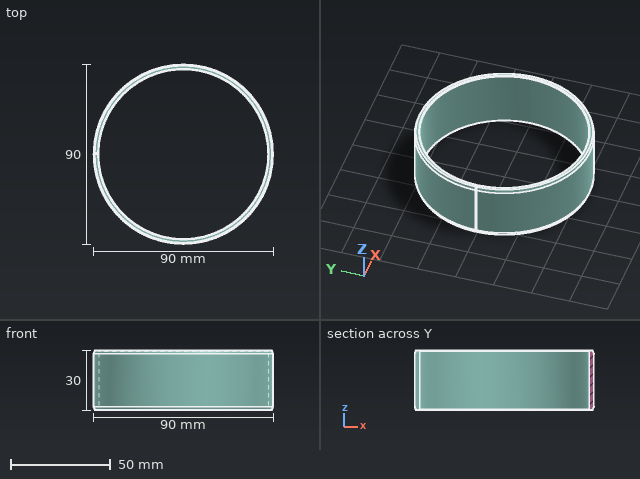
import cadquery as cq

outer_diameter = 90.0
height = 30.0
wall = 2.5
outer_chamfer_height = 1.8
outer_chamfer_depth = 0.6
inner_chamfer = 0.4
slit_width = 0.7

outer_radius = outer_diameter / 2
inner_radius = outer_radius - wall
half_height = height / 2


def sleeve():
    """Revolve the wall section, with both rims chamfered inside and out."""
    chamfer_start = half_height - outer_chamfer_height
    rim_radius = outer_radius - outer_chamfer_depth
    section = [
        (outer_radius, -chamfer_start),
        (outer_radius, chamfer_start),
        (rim_radius, half_height),
        (inner_radius + inner_chamfer, half_height),
        (inner_radius, half_height - inner_chamfer),
        (inner_radius, -half_height + inner_chamfer),
        (inner_radius + inner_chamfer, -half_height),
        (rim_radius, -half_height),
    ]
    return cq.Workplane("XZ").polyline(section).close().revolve(360, (0, 0), (0, 1))


def slit():
    """Full-height cutter through the -X wall, with one face on the XZ plane and the other at +Y."""
    cutter = cq.Workplane("XY").box(outer_radius, slit_width, height)
    return cutter.translate((-outer_radius, slit_width / 2, 0))


result = sleeve().cut(slit())